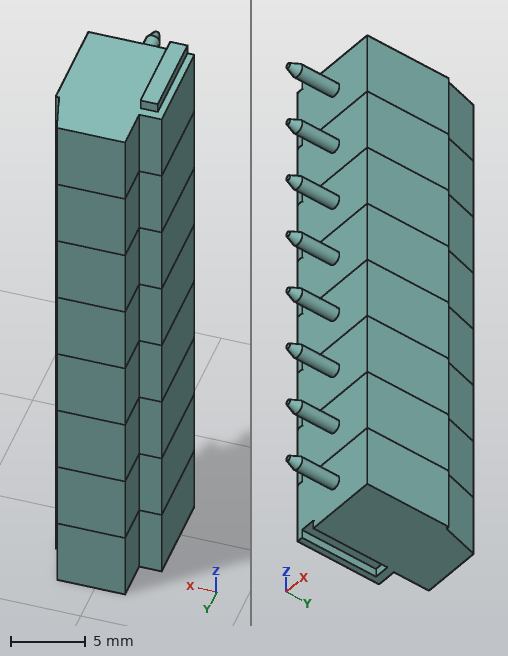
import cadquery as cq


module_count = 8
row_height = 40.7
key_height = 0.7
module_pitch = (row_height - key_height) / module_count

housing_width = 7.5
overall_depth = 14.0
pin_length = 4.0
housing_depth = overall_depth - pin_length
shoulder_depth = 7.0
step_width = 1.6
ledge_width = 0.25
slope_width = 1.1

key_inset = 0.5
key_width = 1.22
key_length = 6.35

pin_diameter = 1.0
pin_tip_diameter = 0.4
pin_tip_length = 0.8
pin_x = 4.0


def make_housing():
    """Prism with a step on one side and a ledge and sloped shoulder on the other."""
    return (
        cq.Workplane("XY")
        .moveTo(0, 0)
        .lineTo(housing_width, 0)
        .lineTo(housing_width, shoulder_depth)
        .lineTo(housing_width - ledge_width, shoulder_depth)
        .lineTo(housing_width - slope_width, housing_depth)
        .lineTo(step_width, housing_depth)
        .lineTo(step_width, shoulder_depth)
        .lineTo(0, shoulder_depth)
        .close()
        .extrude(module_pitch)
    )


def make_key(bottom_z):
    """Rectangular bar, open to the pin side, used as both key and keyway."""
    return (
        cq.Workplane("XY")
        .box(key_width, key_length, key_height, centered=False)
        .translate((key_inset, 0, bottom_z))
    )


def make_pin():
    """Round pin with a tapered tip, standing out from the pin side toward -Y."""
    radius = pin_diameter / 2
    tip_radius = pin_tip_diameter / 2
    profile = (
        cq.Workplane("XY")
        .moveTo(0, 0)
        .lineTo(radius, 0)
        .lineTo(radius, pin_tip_length - pin_length)
        .lineTo(tip_radius, -pin_length)
        .lineTo(0, -pin_length)
        .close()
    )
    pin = profile.revolve(360, (0, 0, 0), (0, 1, 0))
    return pin.translate((pin_x, 0, module_pitch / 2))


def make_module():
    """One terminal module: housing, key, keyway and pin as a single solid."""
    return (
        make_housing()
        .cut(make_key(0))
        .union(make_key(module_pitch))
        .union(make_pin())
    )


modules = []
for index in range(module_count):
    module = make_module().translate((0, 0, index * module_pitch))
    modules.append(module.solids().val())

result = cq.Compound.makeCompound(modules)